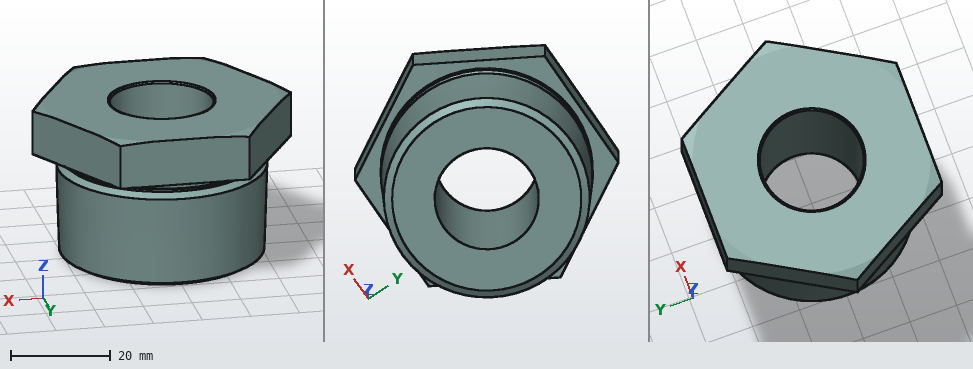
import cadquery as cq
import math

total_height = 32.5
hex_across_corners = 53.1
head_height = 9.6
head_chamfer_circle_radius = 23.95
head_chamfer_angle = 10.0

collar_radius = 21.35
collar_height = 1.45
groove_floor_radius = 19.65
groove_floor_width = 0.5
groove_upper_flank_height = 0.85
groove_lower_flank_height = 1.05

shank_top_radius = 21.25
taper_ratio = 1 / 16
end_chamfer_height = 0.95
end_chamfer_angle = 30.0

bore_radius = 10.45
bore_chamfer = 0.35

head_bottom = total_height - head_height


def make_head():
    """Hexagon with corners on X, its top corners bevelled by a cone."""
    hexagon = (
        cq.Workplane("XY", origin=(0, 0, head_bottom))
        .polygon(6, hex_across_corners)
        .extrude(head_height)
    )
    corner_radius = hex_across_corners / 2
    corner_drop = (corner_radius - head_chamfer_circle_radius) * math.tan(math.radians(head_chamfer_angle))
    bevel_envelope = (
        cq.Workplane("XZ")
        .moveTo(0, head_bottom)
        .lineTo(corner_radius, head_bottom)
        .lineTo(corner_radius, total_height - corner_drop)
        .lineTo(head_chamfer_circle_radius, total_height)
        .lineTo(0, total_height)
        .close()
        .revolve(360, (0, 0, 0), (0, 1, 0))
    )
    return hexagon.intersect(bevel_envelope)


def make_shank():
    """Revolved collar, relief groove, tapered body and chamfered end."""
    collar_bottom = head_bottom - collar_height
    floor_top = collar_bottom - groove_upper_flank_height
    floor_bottom = floor_top - groove_floor_width
    taper_top = floor_bottom - groove_lower_flank_height
    taper_length = taper_top - end_chamfer_height
    taper_end_radius = shank_top_radius - taper_length * taper_ratio / 2
    end_radius = taper_end_radius - end_chamfer_height / math.tan(math.radians(end_chamfer_angle))
    return (
        cq.Workplane("XZ")
        .moveTo(0, head_bottom)
        .lineTo(collar_radius, head_bottom)
        .lineTo(collar_radius, collar_bottom)
        .lineTo(groove_floor_radius, floor_top)
        .lineTo(groove_floor_radius, floor_bottom)
        .lineTo(shank_top_radius, taper_top)
        .lineTo(taper_end_radius, end_chamfer_height)
        .lineTo(end_radius, 0)
        .lineTo(0, 0)
        .close()
        .revolve(360, (0, 0, 0), (0, 1, 0))
    )


def make_bore():
    """Through bore with a small chamfer at the top face."""
    mouth_radius = bore_radius + bore_chamfer
    return (
        cq.Workplane("XZ")
        .lineTo(bore_radius, 0)
        .lineTo(bore_radius, total_height - bore_chamfer)
        .lineTo(mouth_radius, total_height)
        .lineTo(0, total_height)
        .close()
        .revolve(360, (0, 0, 0), (0, 1, 0))
    )


result = make_head().union(make_shank()).cut(make_bore())